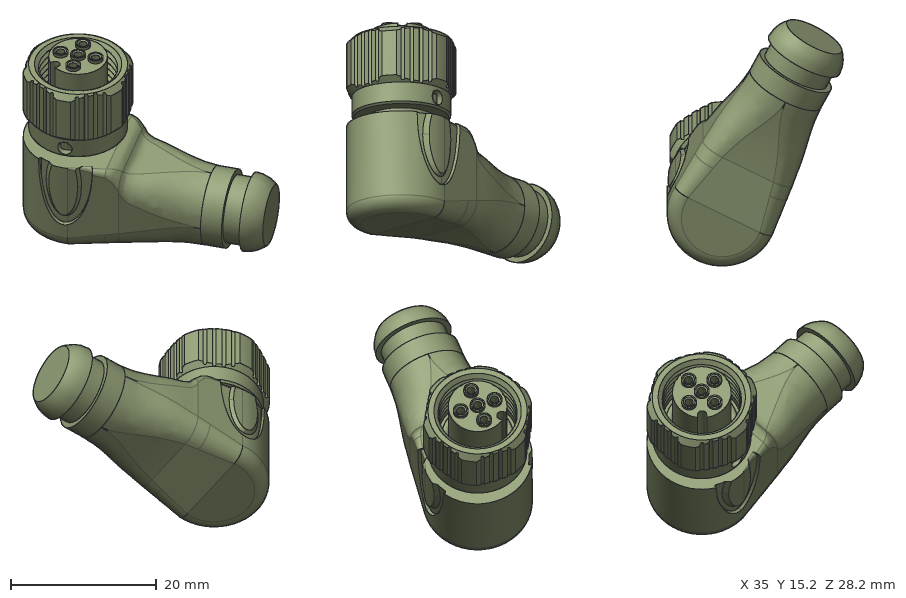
import cadquery as cq
import math

barrel_radius = 7.52
body_top = 14.05
barrel_round = 1.95
flank_angle = math.radians(4.4)
upper_edge_round = 0.1
tail_start = 7.7
tail_start_bottom = 0.8
tail_start_round = 3.0
shoulder_stations = [(5.78, body_top, 0.95), (6.82, 13.75, 1.4), (tail_start, 13.02, 2.1)]

tail_axis_z = 5.95
collar_start = 18.97
collar_end = 21.95
knob_start = 24.45
tail_end = 27.48
collar_radius = 5.53
groove_radius = 4.75
knob_end_radius = 4.27
corner_gap = 0.05
tail_stations = [
    (8.4, 6.85, 0.85, 12.32, 3.15, 2.62),
    (9.62, 6.75, 0.88, 12.05, 3.43, 3.15),
    (12.6, 6.37, 0.88, 11.85, 4.2, 4.2),
    (15.75, 5.8, 0.65, 11.65, 5.05, 5.05),
    (17.5, 5.6, 0.5, 11.55, 5.4, 5.4),
]

recess_half_width = 4.15
recess_bottom = 4.2
recess_depth = 0.45
recess_taper = 18.0
pad_center_z = 11.02
pad_half_width = 1.9
pad_half_height = 5.18
pad_taper = 40.0
badge_cut_length = 1.4

neck_radius = 4.6
nut_bottom = 15.4
grip_bottom = 18.4
nut_top = 26.42
ring_radius = 6.8
ring_chamfer = 0.28
grip_radius = 7.6
grip_apothem = 7.05
grip_chamfer = 0.8
flat_count = 6
flute_radius = 0.262
flute_offsets = (-1.95, -0.65, 0.65, 1.95)

bore_floor = 19.6
thread_major_radius = 6.0
thread_minor_radius = 5.42
thread_pitch = 1.0
thread_count = 5

index_radius = 1.0
index_z = 16.87
index_depth = 1.22
lug_setback = 0.52
lug_width = 1.65
lug_height = 1.25
lug_round = 0.55

insert_radius = 4.02
insert_top = 27.75
seal_radius = 0.52
seal_center_radius = 4.4
contact_top = 28.2
contact_radius = 1.0
contact_spacing = 2.5
contact_hole_radius = 0.55
contact_hole_depth = 2.8
contact_mouth_radius = 0.8
contact_mouth_depth = 0.15
key_radius = 0.63
key_center_radius = 3.57
key_angle = 225

overlap = 0.35


def section(x, half_width, bottom, top, lower_round, upper_round):
    """Closed rounded rectangle in the plane at x."""
    bend = 1 - math.sqrt(0.5)
    w = half_width
    low = lower_round
    up = upper_round
    return (
        cq.Workplane("YZ", origin=(x, 0, 0))
        .moveTo(-w + low, bottom)
        .lineTo(w - low, bottom)
        .threePointArc((w - low * bend, bottom + low * bend), (w, bottom + low))
        .lineTo(w, top - up)
        .threePointArc((w - up * bend, top - up * bend), (w - up, top))
        .lineTo(-w + up, top)
        .threePointArc((-w + up * bend, top - up * bend), (-w, top - up))
        .lineTo(-w, bottom + low)
        .threePointArc((-w + low * bend, bottom + low * bend), (-w + low, bottom))
        .close()
        .wire()
        .val()
    )


def loft(stations, ruled=False):
    wires = [section(*station) for station in stations]
    return cq.Workplane(cq.Solid.makeLoft(wires, ruled))


def body_stations(radius):
    """Sections from the barrel's tangent plane through the shoulder to the tail."""
    tangent_x = radius * math.sin(flank_angle)
    tangent_y = radius * math.cos(flank_angle)
    stations = []
    for x, top, upper_round in [(tangent_x, body_top, upper_edge_round)] + shoulder_stations:
        progress = (x - tangent_x) / (tail_start - tangent_x)
        half_width = tangent_y - (x - tangent_x) * math.tan(flank_angle)
        bottom = progress * tail_start_bottom
        lower_round = barrel_round + progress * (tail_start_round - barrel_round)
        stations.append((x, half_width, bottom, top, lower_round, upper_round))
    return stations


def make_elbow(radius):
    """Barrel behind the tangent plane, flat-topped block, then the shoulder."""
    stations = body_stations(radius)
    tangent_x = stations[0][0]
    barrel = (
        cq.Workplane("XY")
        .circle(radius)
        .extrude(body_top)
        .faces("<Z")
        .edges()
        .fillet(barrel_round)
    )
    rear_half = (
        cq.Workplane("XY")
        .box(tangent_x + radius, 2 * radius, body_top, centered=(False, True, False))
        .translate((-radius, 0, 0))
    )
    block = loft(stations[:2], ruled=True)
    shoulder = loft(stations[1:])
    return barrel.intersect(rear_half).union(block).union(shoulder)


def tapered_ellipse(half_width, half_height, center_z, taper):
    """Elliptical plug running inward from the -Y side of the barrel."""
    return (
        cq.Workplane("XZ", origin=(0, -barrel_radius, center_z))
        .ellipse(half_width, half_height)
        .extrude(-badge_cut_length, taper=taper)
    )


def make_body():
    outline = tapered_ellipse(recess_half_width, body_top - recess_bottom, body_top, recess_taper)
    pad = tapered_ellipse(pad_half_width, pad_half_height, pad_center_z, -pad_taper)
    recess_floor = make_elbow(barrel_radius - recess_depth)
    recess = outline.cut(pad).cut(recess_floor)
    return make_elbow(barrel_radius).cut(recess).cut(recess.mirror("XZ"))


def make_tail():
    corner_radius = collar_radius - corner_gap
    collar_station = (
        collar_start,
        collar_radius,
        tail_axis_z - collar_radius,
        tail_axis_z + collar_radius,
        corner_radius,
        corner_radius,
    )
    return loft([body_stations(barrel_radius)[-1]] + tail_stations + [collar_station])


def make_cable_end():
    """Collar, groove and domed knob; the dome starts tangent to the knob rim."""
    dome_length = tail_end - knob_start
    dome_drop = collar_radius - knob_end_radius
    dome_radius = (dome_length ** 2 + dome_drop ** 2) / (2 * dome_drop)
    return (
        cq.Workplane("XZ", origin=(0, 0, tail_axis_z))
        .moveTo(collar_start, 0)
        .lineTo(collar_start, collar_radius)
        .lineTo(collar_end, collar_radius)
        .lineTo(collar_end, groove_radius)
        .lineTo(knob_start, groove_radius)
        .lineTo(knob_start, collar_radius)
        .radiusArc((tail_end, knob_end_radius), dome_radius)
        .lineTo(tail_end, 0)
        .close()
        .revolve(360, (0, 0, 0), (1, 0, 0))
    )


def disc(radius, bottom, top):
    return cq.Workplane("XY", origin=(0, 0, bottom)).circle(radius).extrude(top - bottom)


def make_grip():
    """Chamfered cylinder with six flats, each carrying four flutes."""
    height = nut_top - grip_bottom
    hexagon = (
        cq.Workplane("XY", origin=(0, 0, grip_bottom))
        .polygon(flat_count, 2 * grip_apothem / math.cos(math.pi / flat_count))
        .extrude(height)
        .rotate((0, 0, 0), (0, 0, 1), 180 / flat_count)
    )
    grip = disc(grip_radius, grip_bottom, nut_top).edges().chamfer(grip_chamfer).intersect(hexagon)
    flutes = (
        cq.Workplane("XY", origin=(0, 0, grip_bottom))
        .pushPoints([(grip_apothem, offset) for offset in flute_offsets])
        .circle(flute_radius)
        .extrude(height)
    )
    for flat in range(flat_count):
        grip = grip.cut(flutes.rotate((0, 0, 0), (0, 0, 1), flat * 360 / flat_count))
    return grip


def make_index_hole():
    """Blind round hole that leaves the rounded lug standing inside."""
    hole = (
        cq.Workplane("XZ", origin=(0, -ring_radius + index_depth, index_z))
        .circle(index_radius)
        .extrude(index_depth + overlap)
    )
    lug = (
        cq.Workplane("XY", origin=(0, 0, index_z))
        .box(lug_width, index_depth, lug_height, centered=(True, False, True))
        .edges("|Z and <Y")
        .fillet(lug_round)
        .translate((0, -ring_radius + lug_setback, 0))
    )
    return hole.cut(lug)


def make_bore():
    """Bore with V-shaped thread grooves and a 45 degree lead-in."""
    thread_depth = thread_major_radius - thread_minor_radius
    thread_top = nut_top - thread_depth
    thread_bottom = thread_top - thread_count * thread_pitch
    profile = (
        cq.Workplane("XZ")
        .moveTo(0, bore_floor)
        .lineTo(thread_minor_radius, bore_floor)
        .lineTo(thread_minor_radius, thread_bottom)
    )
    for turn in range(thread_count):
        crest_z = thread_bottom + turn * thread_pitch
        profile = (
            profile
            .lineTo(thread_major_radius, crest_z + thread_pitch / 2)
            .lineTo(thread_minor_radius, crest_z + thread_pitch)
        )
    return (
        profile
        .lineTo(thread_major_radius, nut_top)
        .lineTo(0, nut_top)
        .close()
        .revolve(360, (0, 0, 0), (0, 1, 0))
    )


def make_nut():
    ring = disc(ring_radius, nut_bottom, grip_bottom).faces("<Z").edges().chamfer(ring_chamfer)
    return make_grip().union(ring).cut(make_index_hole()).cut(make_bore())


def make_insert():
    """Round insert with an open key slot, a seal around its foot and five socket contacts."""
    key_slot = (
        cq.Workplane("XY", origin=(0, 0, bore_floor))
        .moveTo(key_center_radius, -key_radius)
        .lineTo(insert_radius + overlap, -key_radius)
        .lineTo(insert_radius + overlap, key_radius)
        .lineTo(key_center_radius, key_radius)
        .threePointArc((key_center_radius - key_radius, 0), (key_center_radius, -key_radius))
        .close()
        .extrude(insert_top - bore_floor)
        .rotate((0, 0, 0), (0, 0, 1), key_angle)
    )
    seal = cq.Workplane(cq.Solid.makeTorus(seal_center_radius, seal_radius, cq.Vector(0, 0, bore_floor)))
    insert = disc(insert_radius, nut_bottom, insert_top).cut(key_slot).union(seal)

    contact = disc(contact_radius, insert_top - overlap, contact_top)
    socket = (
        cq.Workplane("XZ")
        .moveTo(0, contact_top)
        .lineTo(contact_mouth_radius, contact_top)
        .lineTo(contact_hole_radius, contact_top - contact_mouth_depth)
        .lineTo(contact_hole_radius, contact_top - contact_hole_depth)
        .lineTo(0, contact_top - contact_hole_depth - contact_hole_radius)
        .close()
        .revolve(360, (0, 0, 0), (0, 1, 0))
    )
    s = contact_spacing
    for x, y in [(0, 0), (s, 0), (-s, 0), (0, s), (0, -s)]:
        insert = insert.union(contact.translate((x, y, 0))).cut(socket.translate((x, y, 0)))
    return insert


neck = disc(neck_radius, body_top - overlap, nut_bottom + overlap)

result = (
    make_body()
    .union(make_tail())
    .union(make_cable_end())
    .union(neck)
    .union(make_nut())
    .union(make_insert())
)